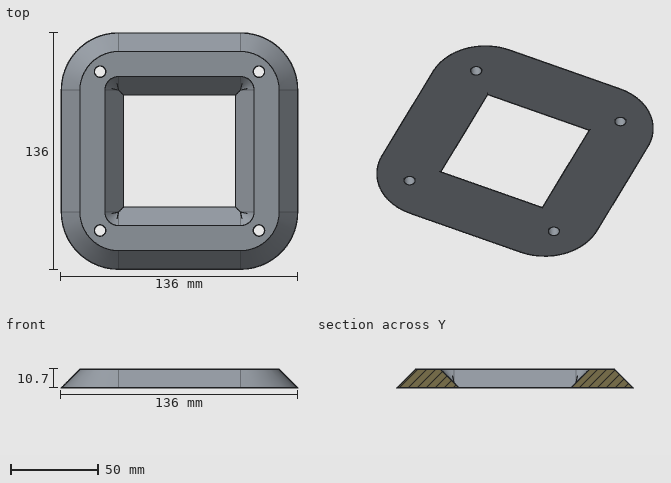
import cadquery as cq
import math

outer_size = 136.0
height = 10.7
crown_width = 14.4
straight_length = 70.0
hole_diameter = 6.4

flank_run = height
half_size = outer_size / 2
corner_center = straight_length / 2
base_outer_radius = half_size - corner_center
crown_outer_radius = base_outer_radius - flank_run
crown_inner_radius = crown_outer_radius - crown_width
base_inner_radius = crown_inner_radius - flank_run
axis_height = height - crown_inner_radius
hole_offset = corner_center + (crown_outer_radius - crown_width / 2) / math.sqrt(2)


def straight_bar():
    """Trapezoidal bar along Y on the +X side."""
    return (
        cq.Workplane("XZ")
        .polyline([
            (corner_center + base_inner_radius, 0),
            (corner_center + base_outer_radius, 0),
            (corner_center + crown_outer_radius, height),
            (corner_center + crown_inner_radius, height),
        ])
        .close()
        .extrude(straight_length / 2, both=True)
    )


def rounded_corner():
    """Quarter turn of the bar section in the +X +Y corner, cut off at its axis."""
    return (
        cq.Workplane("XZ")
        .polyline([
            (0, 0),
            (base_outer_radius, 0),
            (crown_outer_radius, height),
            (crown_inner_radius, height),
            (0, axis_height),
        ])
        .close()
        .revolve(90, (0, 0, 0), (0, 1, 0))
        .translate((corner_center, corner_center, 0))
    )


frame = cq.Workplane("XY")
for quarter in range(4):
    for piece in (straight_bar(), rounded_corner()):
        frame = frame.union(piece.rotate((0, 0, 0), (0, 0, 1), 90 * quarter))

holes = (
    cq.Workplane("XY")
    .rect(2 * hole_offset, 2 * hole_offset, forConstruction=True)
    .vertices()
    .circle(hole_diameter / 2)
    .extrude(height)
)

result = frame.cut(holes)